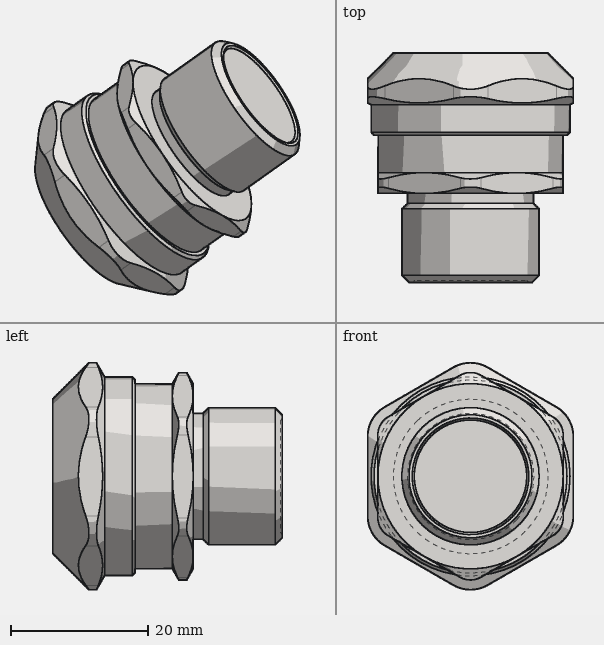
import cadquery as cq
import math

total_length = 33.45

thread_radius = 20.0 / 2
thread_end_y = 11.55
thread_tip_chamfer = 1.05
relief_radius = 18.4 / 2
thread_back_chamfer = thread_radius - relief_radius

recess_rim_radius = 8.5
recess_depth = 0.3
recess_floor_radius = recess_rim_radius - recess_depth

body_width = 27.0
body_radius = body_width / 2
body_hex_start_y = 12.98
body_hex_end_y = 16.02
body_corner_fillet = 3.0

collar_radius = 29.0 / 2
collar_start_y = 21.45
collar_chamfer = 0.45

nut_width = 30.0
nut_hex_start_y = 25.9
nut_corner_fillet = 5.02
nut_end_radius = 11.27

corner_bevel_angle = math.radians(30)


def rounded_corner_radius(width, fillet):
    """Distance from the axis to the tip of a filleted hexagon corner."""
    half_angle_cosine = math.cos(math.pi / 6)
    return fillet + (width / 2 - fillet) / half_angle_cosine


def revolve_profile(points):
    """Turn (radius, y) points into a solid of revolution about Y."""
    return cq.Workplane("XY").polyline(points).close().revolve(360, (0, 0), (0, 1))


def hex_prism(width, fillet, start_y, end_y):
    """Hexagonal prism along Y with flats facing X and filleted corners at +Z and -Z."""
    corner_diameter = width / math.cos(math.pi / 6)
    prism = (
        cq.Workplane("XZ")
        .transformed(rotate=(0, 0, 90))
        .polygon(6, corner_diameter)
        .extrude(-(end_y - start_y))
    )
    return prism.edges("|Y").fillet(fillet).translate((0, start_y, 0))


def make_shank():
    """Thread, relief groove and round body, with the shallow recess in the end face."""
    return revolve_profile([
        (0, recess_depth),
        (recess_floor_radius, recess_depth),
        (recess_rim_radius, 0),
        (thread_radius - thread_tip_chamfer, 0),
        (thread_radius, thread_tip_chamfer),
        (thread_radius, thread_end_y - thread_back_chamfer),
        (relief_radius, thread_end_y),
        (relief_radius, body_hex_start_y),
        (body_radius, body_hex_start_y),
        (body_radius, collar_start_y),
        (0, collar_start_y),
    ])


def make_body_hex():
    """Hexagon with its corners bevelled on both faces down to the flats."""
    corner_radius = rounded_corner_radius(body_width, body_corner_fillet)
    bevel_length = (corner_radius - body_radius) * math.tan(corner_bevel_angle)
    envelope = revolve_profile([
        (0, body_hex_start_y),
        (body_radius, body_hex_start_y),
        (corner_radius, body_hex_start_y + bevel_length),
        (corner_radius, body_hex_end_y - bevel_length),
        (body_radius, body_hex_end_y),
        (0, body_hex_end_y),
    ])
    prism = hex_prism(body_width, body_corner_fillet, body_hex_start_y, body_hex_end_y)
    return prism.intersect(envelope)


def make_collar():
    """Round collar with a chamfered front edge."""
    return revolve_profile([
        (0, collar_start_y),
        (collar_radius - collar_chamfer, collar_start_y),
        (collar_radius, collar_start_y + collar_chamfer),
        (collar_radius, nut_hex_start_y),
        (0, nut_hex_start_y),
    ])


def make_nut_hex():
    """Hexagon bevelled from the collar at the front and by a 45 degree cone at the back."""
    corner_radius = rounded_corner_radius(nut_width, nut_corner_fillet)
    bevel_length = (corner_radius - collar_radius) * math.tan(corner_bevel_angle)
    taper_length = corner_radius - nut_end_radius
    envelope = revolve_profile([
        (0, nut_hex_start_y),
        (collar_radius, nut_hex_start_y),
        (corner_radius, nut_hex_start_y + bevel_length),
        (corner_radius, total_length - taper_length),
        (nut_end_radius, total_length),
        (0, total_length),
    ])
    prism = hex_prism(nut_width, nut_corner_fillet, nut_hex_start_y, total_length)
    return prism.intersect(envelope)


result = make_shank().union(make_body_hex()).union(make_collar()).union(make_nut_hex())